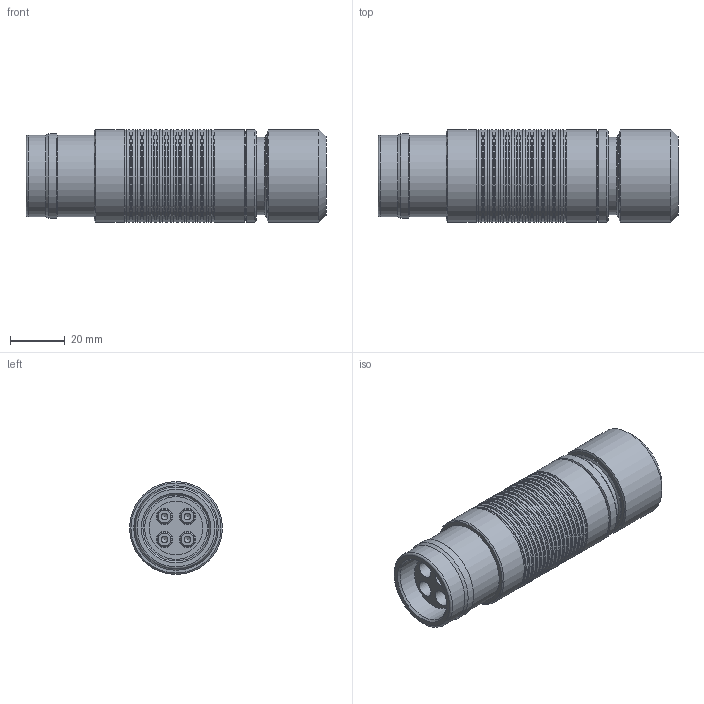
import cadquery as cq

LENGTH = 110.0
BODY_RADIUS = 17.0

NOSE_RADIUS = 15.0
NOSE_END = 25.0
NOSE_ROUNDING = 0.75
BEAD_RADIUS = 15.5
BEAD_START = 7.2
BEAD_END = 11.5
BEAD_FRONT_RAMP = 1.2
BEAD_REAR_RAMP = 0.3

SLEEVE_CHAMFER = 0.5
SLEEVE_END = 80.0
GROOVE_COUNT = 17
GROOVE_START = 36.0
GROOVE_PITCH = 2.0
GROOVE_MOUTH_WIDTH = 1.0
GROOVE_FLOOR_WIDTH = 0.65
GROOVE_DEPTH = 0.3

RELIEF_WIDTH = 0.9
RELIEF_RADIUS = 16.4
RELIEF_RAMP = 0.25
CLAMP_START = SLEEVE_END + RELIEF_WIDTH
CLAMP_END = 84.5
CLAMP_CHAMFER = 0.6

NECK_RADIUS = 14.2
NECK_END = 87.6
LIP_RADIUS = 15.2
LIP_FRONT_RAMP = 0.4
LIP_REAR_RADIUS = 14.9
NUT_START = 88.5
NUT_FRONT_RADIUS = 16.3
NUT_FRONT_RAMP = 0.25
NUT_REAR_CHAMFER = 2.6

SOCKET_ENTRY_RADIUS = 12.7
SOCKET_ENTRY_DEPTH = 0.7
SOCKET_RADIUS = 12.1
SOCKET_LEDGE_DEPTH = 10.0
GAP_RADIUS = 11.5
GAP_DEPTH = 15.0
INSERT_RADIUS = 9.8
INSERT_RECESS = 5.8

CONTACT_OFFSET = 4.2
CONTACT_HOLE_RADIUS = 3.0
CONTACT_RADIUS = 2.75
CONTACT_CHAMFER = 0.4
CONTACT_RECESS = 6.0
CONTACT_GAP_DEPTH = 10.0
CONTACT_BORE_RADIUS = 1.2
CONTACT_BORE_DEPTH = 6.0
CONTACT_BORE_TIP = 0.7


def revolve_about_x(outline):
    """Solid of revolution from an (x, radius) outline."""
    return outline.close().revolve(360, (0, 0, 0), (1, 0, 0))


def turned_body():
    rounding_centre = NOSE_RADIUS - NOSE_ROUNDING
    outline = (
        cq.Workplane("XY")
        .lineTo(0, rounding_centre)
        .radiusArc((NOSE_ROUNDING, NOSE_RADIUS), NOSE_ROUNDING)
        .lineTo(BEAD_START, NOSE_RADIUS)
        .lineTo(BEAD_START + BEAD_FRONT_RAMP, BEAD_RADIUS)
        .lineTo(BEAD_END - BEAD_REAR_RAMP, BEAD_RADIUS)
        .lineTo(BEAD_END, NOSE_RADIUS)
        .lineTo(NOSE_END, NOSE_RADIUS)
        .lineTo(NOSE_END, BODY_RADIUS - SLEEVE_CHAMFER)
        .lineTo(NOSE_END + SLEEVE_CHAMFER, BODY_RADIUS)
        .lineTo(SLEEVE_END, BODY_RADIUS)
        .lineTo(SLEEVE_END, RELIEF_RADIUS)
        .lineTo(CLAMP_START - RELIEF_RAMP, RELIEF_RADIUS)
        .lineTo(CLAMP_START, BODY_RADIUS)
        .lineTo(CLAMP_END - CLAMP_CHAMFER, BODY_RADIUS)
        .lineTo(CLAMP_END, BODY_RADIUS - CLAMP_CHAMFER)
        .lineTo(CLAMP_END, NECK_RADIUS)
        .lineTo(NECK_END, NECK_RADIUS)
        .lineTo(NECK_END + LIP_FRONT_RAMP, LIP_RADIUS)
        .lineTo(NUT_START, LIP_REAR_RADIUS)
        .lineTo(NUT_START, NUT_FRONT_RADIUS)
        .lineTo(NUT_START + NUT_FRONT_RAMP, BODY_RADIUS)
        .lineTo(LENGTH - NUT_REAR_CHAMFER, BODY_RADIUS)
        .lineTo(LENGTH, BODY_RADIUS - NUT_REAR_CHAMFER)
        .lineTo(LENGTH, 0)
    )
    return revolve_about_x(outline)


def grip_groove(x):
    """Ring of trapezoid section whose mouth begins at x."""
    wall_run = (GROOVE_MOUTH_WIDTH - GROOVE_FLOOR_WIDTH) / 2
    floor_radius = BODY_RADIUS - GROOVE_DEPTH
    clear_radius = BODY_RADIUS + GROOVE_DEPTH
    outline = cq.Workplane("XY").polyline([
        (x, clear_radius),
        (x, BODY_RADIUS),
        (x + wall_run, floor_radius),
        (x + wall_run + GROOVE_FLOOR_WIDTH, floor_radius),
        (x + GROOVE_MOUTH_WIDTH, BODY_RADIUS),
        (x + GROOVE_MOUTH_WIDTH, clear_radius),
    ])
    return revolve_about_x(outline)


def socket_cavity():
    outline = cq.Workplane("XY").polyline([
        (0, 0),
        (0, SOCKET_ENTRY_RADIUS),
        (SOCKET_ENTRY_DEPTH, SOCKET_RADIUS),
        (SOCKET_LEDGE_DEPTH, SOCKET_RADIUS),
        (SOCKET_LEDGE_DEPTH, GAP_RADIUS),
        (GAP_DEPTH, GAP_RADIUS),
        (GAP_DEPTH, INSERT_RADIUS),
        (INSERT_RECESS, INSERT_RADIUS),
        (INSERT_RECESS, 0),
    ])
    return revolve_about_x(outline)


def contact_cavity():
    """Space around and inside one contact, centred on the X axis."""
    face = INSERT_RECESS + CONTACT_RECESS
    gap_floor = INSERT_RECESS + CONTACT_GAP_DEPTH
    bore_floor = face + CONTACT_BORE_DEPTH
    outline = cq.Workplane("XY").polyline([
        (INSERT_RECESS, 0),
        (INSERT_RECESS, CONTACT_HOLE_RADIUS),
        (gap_floor, CONTACT_HOLE_RADIUS),
        (gap_floor, CONTACT_RADIUS),
        (face + CONTACT_CHAMFER, CONTACT_RADIUS),
        (face, CONTACT_RADIUS - CONTACT_CHAMFER),
        (face, CONTACT_BORE_RADIUS),
        (bore_floor, CONTACT_BORE_RADIUS),
        (bore_floor + CONTACT_BORE_TIP, 0),
    ])
    return revolve_about_x(outline)


result = turned_body().cut(socket_cavity())

for index in range(GROOVE_COUNT):
    result = result.cut(grip_groove(GROOVE_START + index * GROOVE_PITCH))

for y in (-CONTACT_OFFSET, CONTACT_OFFSET):
    for z in (-CONTACT_OFFSET, CONTACT_OFFSET):
        result = result.cut(contact_cavity().translate((0, y, z)))